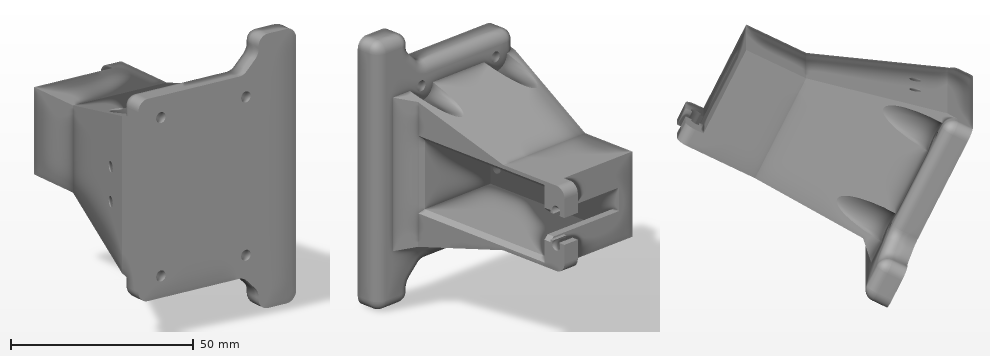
import cadquery as cq
import math


total_length = 69.37
plate_width = 53.34
flange_height = 79.94

plate_thickness = 7.7
plate_face_x = -plate_thickness
narrow_height = 58.9
flange_width = 12.7
flange_step = 5.08
plate_edge_radius = 3.175
flange_bend_radius = 3.7

mount_hole_diameter = 3.2
mount_hole_y = (7.62, 36.36)
mount_hole_z = 23.07
mount_points = [(y, z) for y in mount_hole_y for z in (mount_hole_z, -mount_hole_z)]
trough_radius = 4.45

tip_x = -total_length
tab_length = 5.45
body_face_x = tip_x + tab_length
straight_length = 18.3
taper_start_x = body_face_x + straight_length
body_width = 31.75
body_y_min = (plate_width - body_width) / 2
body_y_max = body_y_min + body_width
body_height = 25.4
taper_angle = 15.0
brace_size = 4.9

tab_thickness = 5.2
tab_corner_radius = 3.0
tab_gap = 8.0
tab_hole_offset = 3.2

screw_hole_diameter = 3.15
screw_hole_spacing = 10.16
front_hole_x = tip_x + 53.0

front_wall = 5.08
side_wall = 2.4
lip_thickness = 2.3
slot_height = 7.0
mouth_chamfer = 1.27
mouth_angle = 45.0
pocket_y_range = (body_y_min + front_wall, body_y_max)
mouth_ledge = 0.1
pocket_end_x = plate_face_x - brace_size - mouth_ledge - mouth_chamfer


def box(x_range, y_range, height):
    """A box centred on Z = 0 that spans the given X and Y ranges."""
    length = x_range[1] - x_range[0]
    width = y_range[1] - y_range[0]
    block = cq.Workplane("XY").box(length, width, height, centered=(False, False, True))
    return block.translate((x_range[0], y_range[0], 0))


def make_plate():
    """T-shaped plate with rounded corners and a rounded edge on its -X face."""
    flange_y = plate_width - flange_width
    half_flange = flange_height / 2
    half_narrow = narrow_height / 2
    upper_half = [
        (0, half_narrow),
        (flange_y - flange_step, half_narrow),
        (flange_y, half_narrow + flange_step),
        (flange_y, half_flange),
        (plate_width, half_flange),
    ]
    bend_corners = (1, 2)
    lower_half = [(y, -z) for y, z in reversed(upper_half)]
    plate = cq.Workplane("YZ").polyline(upper_half + lower_half).close().extrude(plate_face_x)

    middle_x = plate_face_x / 2
    for side in (1, -1):
        for index, (y, z) in enumerate(upper_half):
            radius = flange_bend_radius if index in bend_corners else plate_edge_radius
            corner = cq.selectors.NearestToPointSelector((middle_x, y, side * z))
            plate = plate.edges("|X").edges(corner).fillet(radius)
    return plate.faces("<X").edges().fillet(plate_edge_radius)


def make_body():
    """Body that widens towards the plate: its XY outline met by its XZ outline."""
    end_x = plate_face_x + plate_edge_radius
    plan = [
        (body_face_x, body_y_min),
        (taper_start_x, body_y_min),
        (plate_face_x, 0),
        (end_x, 0),
        (end_x, body_y_max + brace_size),
        (plate_face_x, body_y_max + brace_size),
        (plate_face_x - brace_size, body_y_max),
        (tip_x, body_y_max),
        (tip_x, body_y_max - tab_thickness),
        (body_face_x, body_y_max - tab_thickness),
    ]
    plan_solid = cq.Workplane("XY").polyline(plan).close().extrude(flange_height / 2, both=True)

    tip_half = body_height / 2
    rise = (end_x - taper_start_x) * math.tan(math.radians(taper_angle))
    upper_side = [(tip_x, tip_half), (taper_start_x, tip_half), (end_x, tip_half + rise)]
    lower_side = [(x, -z) for x, z in reversed(upper_side)]
    side_solid = cq.Workplane("XZ").polyline(upper_side + lower_side).close().extrude(-plate_width)

    body = plan_solid.intersect(side_solid)
    return body.faces("<X").edges("|Y").fillet(tab_corner_radius)


def make_troughs():
    """Cylinders along X that clear the body in front of the mounting holes."""
    troughs = cq.Workplane("YZ", origin=(plate_face_x, 0, 0)).pushPoints(mount_points)
    return troughs.circle(trough_radius).extrude(tip_x - plate_face_x)


def make_mount_holes():
    """Holes through the plate, on the trough axes."""
    holes = cq.Workplane("YZ").pushPoints(mount_points)
    return holes.circle(mount_hole_diameter / 2).extrude(plate_face_x)


def make_screw_holes():
    """Hole pairs along Y, through the tab and through the front wall."""
    half_spacing = screw_hole_spacing / 2
    columns = (tip_x + tab_hole_offset, front_hole_x)
    points = [(x, z) for x in columns for z in (half_spacing, -half_spacing)]
    holes = cq.Workplane("XZ").pushPoints(points)
    return holes.circle(screw_hole_diameter / 2).extrude(-plate_width)


def chamfered_opening(x_range, half_height):
    """Opening cut in from the +Y side, with a chamfered mouth on its sides and far end."""
    opening = box(x_range, pocket_y_range, 2 * half_height)
    mouth = cq.Workplane("XZ", origin=(0, body_y_max, 0)).center(x_range[0], 0)
    length = x_range[1] - x_range[0] + mouth_chamfer
    height = 2 * (half_height + mouth_chamfer)
    flare = mouth.rect(2 * length, height).extrude(mouth_chamfer, taper=mouth_angle)
    return opening.union(flare.intersect(box((x_range[0], 0), pocket_y_range, flange_height)))


def make_pocket():
    """Tab gap, entry slot and main pocket, all open to +Y."""
    pocket_start_x = body_face_x + lip_thickness
    gap = box((tip_x, body_face_x), pocket_y_range, tab_gap)
    slot = chamfered_opening((body_face_x, pocket_end_x), slot_height / 2)
    pocket = chamfered_opening((pocket_start_x, pocket_end_x), body_height / 2 - side_wall)
    return gap.union(slot).union(pocket)


body = make_body().cut(make_troughs()).cut(make_pocket()).cut(make_screw_holes())
result = make_plate().union(body).cut(make_mount_holes())